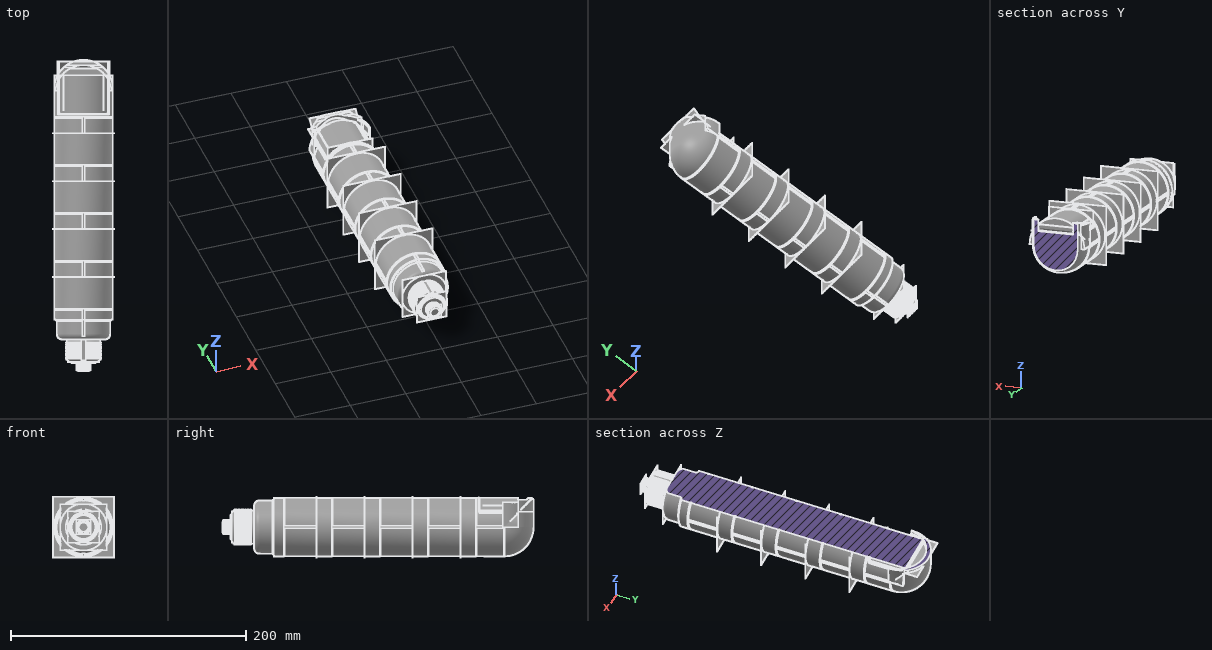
import cadquery as cq
import math

LENGTH = 264.7
BODY_DIAMETER = 50.0
BODY_R = BODY_DIAMETER / 2
PLATE_T = 0.3
CUT_MARGIN = 2.6

TIP_R = 6.0
TIP_FACE_R = 4.0
TIP_CHAMFER_LENGTH = 0.8
TIP_PLATE_SIDE = 12.5
TIP_PITCH = 1.0
TIP_THREAD_DEPTH = 0.5
BOSS_R = 11.0
BOSS_Y = 7.0
BOSS_CHAMFER = 1.0
CONNECTOR_Y = 8.0
CONNECTOR_R = 15.0
CONNECTOR_CHAMFER = 1.9
CONNECTOR_PITCH = 1.5
CONNECTOR_THREAD_DEPTH = 0.8
CONNECTOR_TEETH = 10
CONNECTOR_PLATE_SIDE = 26.7
KEYWAY_WIDTH = 4.0
KEYWAY_DEPTH = 1.3

BASE_Y = 27.0
BASE_R = 22.8
BASE_FILLET = 4.8
BASE_PLATE_SIDE = 39.2
SHOULDER_Y = 44.0
SHOULDER_CHAMFER = 1.3

MODULES = 4
MODULE_PITCH = 40.8
FIRST_RING_Y = 52.7
FIRST_PLATE_Y = 80.0
MODULE_PLATE_SIDE = 52.0
GROOVE_WIDTH = 1.0
GROOVE_DEPTH = 0.4
SLOT_WIDTH = 2.0
LAST_RING_Y = FIRST_RING_Y + MODULES * MODULE_PITCH

DOME_Y = LENGTH - BODY_R
BODY_END_Y = 251.5
HOOD_FRONT_Y = 238.2
HOOD_SIDE_WALL = 1.0
HOOD_REAR_WALL = 4.5
HOOD_FLOOR_Z = 13.2
SIDE_WALL_Z = 21.0
REAR_WALL_Z = 23.3
PEAK_Z = 25.0
PEAK_FRONT_Y = 260.0
COVER_FRONT_Y = 217.8
COVER_HALF_WIDTH = 21.7
COVER_CORNER_R = 2.6
COVER_PLATE_WIDTH = 40.2
COVER_PLATE_TOP_Z = 25.1
CAP_PLATE_WIDTH = 44.2
CAP_PLATE_END_Y = 263.4
TILTED_PLATE_TOP_Z = 24.4
TILTED_PLATE_WIDTH = 41.5
SHELF_Z = 18.5
SHELF_WIDTH = 34.5
SHELF_FRONT_Y = 221.8


def box(x0, x1, y0, y1, z0, z1):
    """Axis-aligned block between the given limits."""
    return cq.Workplane("XY").box(x1 - x0, y1 - y0, z1 - z0, centered=False).translate((x0, y0, z0))


def rod(radius, y0, y1):
    """Cylinder about the Y axis."""
    return cq.Workplane("XZ", origin=(0, y0, 0)).circle(radius).extrude(y0 - y1)


def square_plate(side, y):
    """Thin square plate across the axis with its front face at y."""
    half = side / 2
    return box(-half, half, y, y + PLATE_T, -half, half)


def ring_cutter(radius, y, width):
    """Annular tool that cuts a groove centred at y into a cylinder of the given radius."""
    outer = rod(radius + CUT_MARGIN, y - width / 2, y + width / 2)
    return outer.cut(rod(radius - GROOVE_DEPTH, y - width / 2, y + width / 2))


def slot_pair(radius, y0, y1, vertical):
    """Two opposite axial slots, at top and bottom if vertical, otherwise at the two sides."""
    half = SLOT_WIDTH / 2
    reach = radius + CUT_MARGIN
    if vertical:
        bar = box(-half, half, y0, y1, -reach, reach)
    else:
        bar = box(-reach, reach, y0, y1, -half, half)
    return bar.cut(rod(radius - GROOVE_DEPTH, y0, y1))


def thread_points(radius, depth, pitch, start_y, teeth):
    """Half-profile points of a run of V-shaped ridges along Y."""
    points = []
    for i in range(teeth):
        y = start_y + i * pitch
        points += [(radius - depth, y), (radius, y + pitch / 2)]
    return points + [(radius - depth, start_y + teeth * pitch)]


def make_shaft():
    """Turned part: threaded tip, threaded connector, base and main body."""
    tip_root_r = TIP_R - TIP_THREAD_DEPTH
    tip_teeth = math.floor((BOSS_Y - TIP_CHAMFER_LENGTH) / TIP_PITCH)
    thread_y = CONNECTOR_Y + CONNECTOR_CHAMFER
    core_r = CONNECTOR_R - CONNECTOR_THREAD_DEPTH
    fillet_mid = BASE_FILLET * (1 - math.sqrt(0.5))
    profile = cq.Workplane("XY").moveTo(0, 0)
    tip = [(TIP_FACE_R, 0)]
    tip += thread_points(TIP_R, TIP_THREAD_DEPTH, TIP_PITCH, TIP_CHAMFER_LENGTH, tip_teeth)
    tip += [(tip_root_r, BOSS_Y)]
    connector = [
        (BOSS_R - BOSS_CHAMFER, BOSS_Y),
        (BOSS_R, BOSS_Y + BOSS_CHAMFER),
        (BOSS_R, CONNECTOR_Y + PLATE_T),
        (core_r - CONNECTOR_CHAMFER, CONNECTOR_Y + PLATE_T),
    ]
    connector += thread_points(
        CONNECTOR_R, CONNECTOR_THREAD_DEPTH, CONNECTOR_PITCH, thread_y, CONNECTOR_TEETH
    )
    connector += [(core_r, BASE_Y), (BASE_R - BASE_FILLET, BASE_Y)]
    for point in tip + connector:
        profile = profile.lineTo(*point)
    profile = (
        profile.threePointArc(
            (BASE_R - fillet_mid, BASE_Y + fillet_mid),
            (BASE_R, BASE_Y + BASE_FILLET),
        )
        .lineTo(BASE_R, SHOULDER_Y - SHOULDER_CHAMFER)
        .lineTo(BASE_R + SHOULDER_CHAMFER, SHOULDER_Y)
        .lineTo(BODY_R, SHOULDER_Y)
        .lineTo(BODY_R, DOME_Y)
        .lineTo(0, DOME_Y)
        .close()
    )
    return profile.revolve(360, (0, 0, 0), (0, 1, 0))


def cut_keyway(part):
    """Flat-bottomed keyway along the top of the connector thread."""
    half = KEYWAY_WIDTH / 2
    floor_z = CONNECTOR_R - KEYWAY_DEPTH
    return part.cut(box(-half, half, CONNECTOR_Y, BASE_Y, floor_z, BODY_R))


def cut_module_grooves(part):
    """Ring grooves between modules, with slots alternating between top and sides."""
    part = part.cut(slot_pair(BASE_R, BASE_Y, SHOULDER_Y, True))
    part = part.cut(slot_pair(BODY_R, SHOULDER_Y, FIRST_RING_Y, True))
    for i in range(MODULES):
        ring_y = FIRST_RING_Y + i * MODULE_PITCH
        plate_y = FIRST_PLATE_Y + i * MODULE_PITCH
        part = part.cut(ring_cutter(BODY_R, ring_y, GROOVE_WIDTH))
        part = part.cut(slot_pair(BODY_R, ring_y, plate_y, False))
        part = part.cut(slot_pair(BODY_R, plate_y, ring_y + MODULE_PITCH, True))
    part = part.cut(ring_cutter(BODY_R, LAST_RING_Y, GROOVE_WIDTH))
    return part.cut(slot_pair(BODY_R, LAST_RING_Y, HOOD_FRONT_Y, False))


def add_hood(part):
    """Rounded cap: quarter sphere below, upright hood above, upper body half inside."""
    dome = cq.Workplane("XY").sphere(BODY_R).translate((0, DOME_Y, 0))
    dome = dome.intersect(box(-BODY_R, BODY_R, DOME_Y, LENGTH, -BODY_R, 0))

    def upright(radius, centre_y, height):
        """Upright U-shaped column, round at the rear and straight-sided towards the front."""
        column = cq.Workplane("XY").center(0, centre_y).circle(radius).extrude(height)
        return column.union(box(-radius, radius, HOOD_FRONT_Y - radius, centre_y, 0, height))

    inner_r = BODY_R - HOOD_SIDE_WALL
    cavity = upright(inner_r, LENGTH - HOOD_REAR_WALL - inner_r, BODY_R).translate((0, 0, HOOD_FLOOR_Z))
    bevel = PEAK_Z - REAR_WALL_Z
    side_outline = (
        cq.Workplane("YZ", origin=(-BODY_R, 0, 0))
        .moveTo(HOOD_FRONT_Y, 0)
        .lineTo(LENGTH, 0)
        .lineTo(LENGTH, REAR_WALL_Z)
        .lineTo(LENGTH - bevel, PEAK_Z)
        .lineTo(PEAK_FRONT_Y, PEAK_Z)
        .lineTo(PEAK_FRONT_Y - bevel, REAR_WALL_Z)
        .lineTo(BODY_END_Y, REAR_WALL_Z)
        .lineTo(BODY_END_Y, SIDE_WALL_Z)
        .lineTo(HOOD_FRONT_Y, SIDE_WALL_Z)
        .close()
        .extrude(2 * BODY_R)
    )
    hood = upright(BODY_R, DOME_Y, BODY_R).intersect(side_outline).cut(cavity)
    upper_body = rod(BODY_R, LAST_RING_Y + GROOVE_WIDTH, BODY_END_Y)
    upper_body = upper_body.intersect(box(-BODY_R, BODY_R, LAST_RING_Y, BODY_END_Y, 0, BODY_R))
    upper_body = upper_body.cut(slot_pair(BODY_R, LAST_RING_Y, HOOD_FRONT_Y, False))
    joint = ring_cutter(BODY_R, DOME_Y, GROOVE_WIDTH)
    joint = joint.intersect(box(-LENGTH, LENGTH, 0, LENGTH, -LENGTH, 0))
    return part.union(dome).cut(joint).union(hood).union(upper_body)


def cut_cover_groove(part):
    """U-shaped groove round the cover set into the top of the cap."""
    edge_z = math.sqrt(BODY_R**2 - COVER_HALF_WIDTH**2)

    def saddle(inset):
        """Cover block with rounded lower front corners, shrunk by the inset."""
        half = COVER_HALF_WIDTH - inset
        front_y = COVER_FRONT_Y + inset
        bottom_z = edge_z - GROOVE_WIDTH + inset
        block = box(-half, half, front_y, BODY_END_Y, bottom_z, BODY_R + CUT_MARGIN)
        return block.edges("<Y and <Z").fillet(COVER_CORNER_R)

    groove = saddle(0).cut(saddle(GROOVE_WIDTH))
    groove = groove.cut(rod(BODY_R - GROOVE_DEPTH, COVER_FRONT_Y, BODY_END_Y))
    return part.cut(groove)


def add_cross_plates(part):
    """Thin square plates standing across the axis."""
    part = part.union(square_plate(TIP_PLATE_SIDE, TIP_CHAMFER_LENGTH))
    part = part.union(square_plate(CONNECTOR_PLATE_SIDE, CONNECTOR_Y))
    part = part.union(square_plate(BASE_PLATE_SIDE, BASE_Y + PLATE_T / 2))
    for i in range(MODULES):
        part = part.union(square_plate(MODULE_PLATE_SIDE, FIRST_PLATE_Y + i * MODULE_PITCH))
    half = COVER_PLATE_WIDTH / 2
    return part.union(box(-half, half, COVER_FRONT_Y, COVER_FRONT_Y + PLATE_T, 0, COVER_PLATE_TOP_Z))


def add_cap_plates(part):
    """Level plate on the hood floor, a plate rising at 45 degrees to the rear, and a level shelf."""
    half = CAP_PLATE_WIDTH / 2
    level = box(-half, half, BODY_END_Y, CAP_PLATE_END_Y, HOOD_FLOOR_Z - PLATE_T, HOOD_FLOOR_Z)

    rise = TILTED_PLATE_TOP_Z - HOOD_FLOOR_Z
    step = PLATE_T * math.sqrt(0.5)
    tilted = (
        cq.Workplane("YZ", origin=(-TILTED_PLATE_WIDTH / 2, 0, 0))
        .moveTo(CAP_PLATE_END_Y, TILTED_PLATE_TOP_Z)
        .line(-step, step)
        .line(-rise - step, -rise - step)
        .line(2 * step, 0)
        .close()
        .extrude(TILTED_PLATE_WIDTH)
    )

    shelf_end_y = CAP_PLATE_END_Y - (TILTED_PLATE_TOP_Z - SHELF_Z)
    half = SHELF_WIDTH / 2
    shelf = box(-half, half, SHELF_FRONT_Y, shelf_end_y, SHELF_Z - PLATE_T, SHELF_Z)
    return part.union(level).union(tilted).union(shelf)


result = make_shaft()
result = cut_keyway(result)
result = cut_module_grooves(result)
result = add_hood(result)
result = cut_cover_groove(result)
result = add_cross_plates(result)
result = add_cap_plates(result)